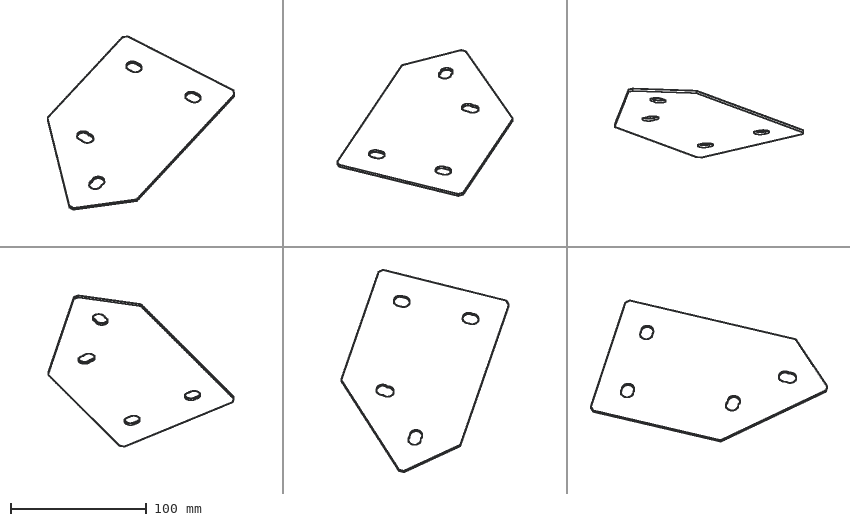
import cadquery as cq
import math

width = 100.0
length = 162.9
thickness = 2.0
corner_chamfer = 2.8

left_cut = 62.9
right_cut = 33.4

hole_diameter = 9.1
upper_hole_spacing = 2.8
lower_hole_spacing = 3.9

upper_hole_x = 26.4
upper_hole_y = 59.1
left_hole_center = (-16.3, -18.5)
left_hole_angle = -5.0
tip_hole_center = (16.5, -51.1)
tip_hole_angle = 90.0


def make_plate():
    half_width = width / 2
    half_length = length / 2
    outline = [
        (-half_width, half_length - corner_chamfer),
        (-half_width + corner_chamfer, half_length),
        (half_width - corner_chamfer, half_length),
        (half_width, half_length - corner_chamfer),
        (half_width, -half_length + right_cut),
        (half_width - right_cut, -half_length),
        (-half_width + left_cut, -half_length),
        (-half_width, -half_length + left_cut),
    ]
    return cq.Workplane("XY").polyline(outline).close().extrude(thickness)


def cut_double_hole(body, center, spacing, angle):
    """Cut two overlapping circles whose centres lie along the given angle."""
    x, y = center
    dx = spacing / 2 * math.cos(math.radians(angle))
    dy = spacing / 2 * math.sin(math.radians(angle))
    for side in (-1, 1):
        cutter = (
            cq.Workplane("XY")
            .center(x + side * dx, y + side * dy)
            .circle(hole_diameter / 2)
            .extrude(thickness)
        )
        body = body.cut(cutter)
    return body


result = make_plate()

for side in (-1, 1):
    result = cut_double_hole(result, (side * upper_hole_x, upper_hole_y), upper_hole_spacing, 0.0)

result = cut_double_hole(result, left_hole_center, lower_hole_spacing, left_hole_angle)
result = cut_double_hole(result, tip_hole_center, lower_hole_spacing, tip_hole_angle)